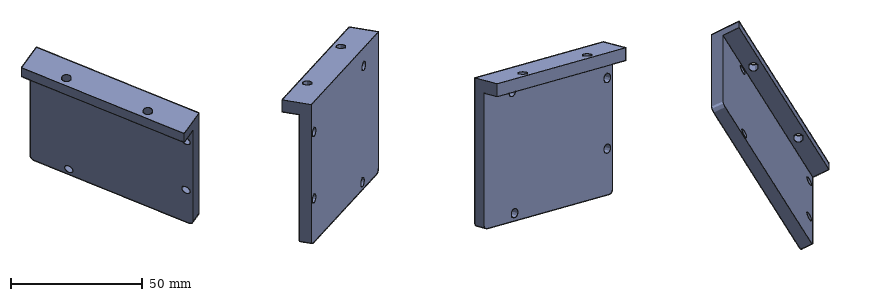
import cadquery as cq

width = 70.56
height = 59.11
depth = 12.0
plate_thickness = 5.0
flange_thickness = 5.11
corner_radius = 2.0

hole_diameter = 3.6

board_hole_x = 15.5
board_hole_z = height - 7.7
board_hole_offsets = [
    (0.0, 0.0),
    (1.27, -48.26),
    (52.07, -5.08),
    (52.07, -33.02),
]

overhang = depth - plate_thickness
flange_hole_positions = [(width / 4, overhang / 2), (width * 3 / 4, overhang / 2)]


def make_plate():
    """Upright plate at the back, with its two bottom corners rounded."""
    plate = cq.Workplane("XY").box(width, plate_thickness, height, centered=False)
    plate = plate.edges("|Y and <Z").fillet(corner_radius)
    return plate.translate((0, overhang, 0))


def make_flange():
    """Flange over the full depth along the top edge."""
    flange = cq.Workplane("XY").box(width, depth, flange_thickness, centered=False)
    return flange.translate((0, 0, height - flange_thickness))


def make_board_holes():
    """Cylinders along Y through the plate."""
    positions = [(board_hole_x + dx, board_hole_z + dz) for dx, dz in board_hole_offsets]
    return cq.Workplane("XZ").pushPoints(positions).circle(hole_diameter / 2).extrude(-depth)


def make_flange_holes():
    """Cylinders along Z through the overhanging part of the flange."""
    return cq.Workplane("XY").pushPoints(flange_hole_positions).circle(hole_diameter / 2).extrude(height)


bracket = make_plate().union(make_flange())
result = bracket.cut(make_board_holes()).cut(make_flange_holes())